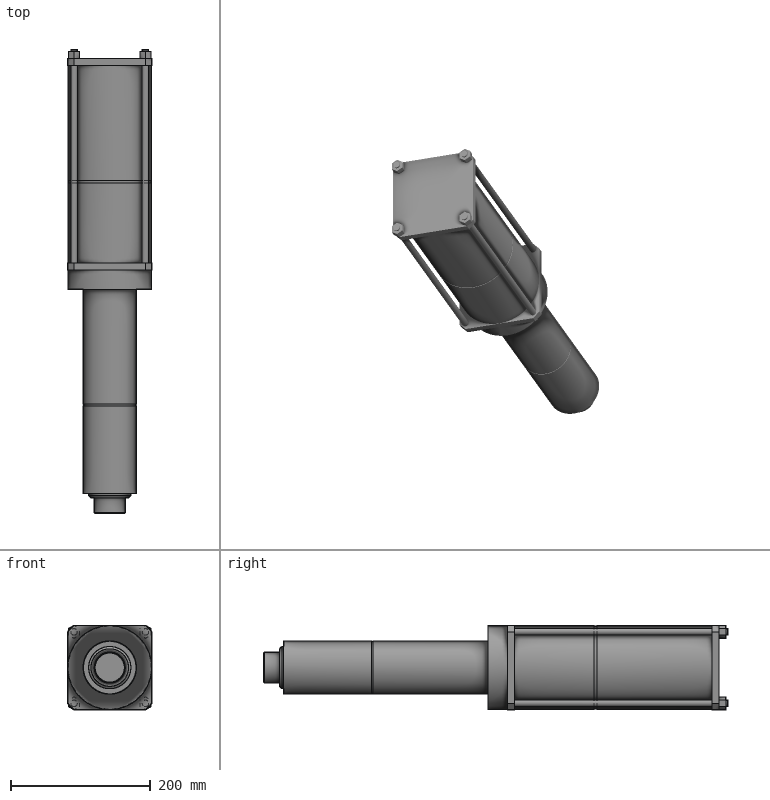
import cadquery as cq

overall_length = 663.5

plate_side = 121.0
plate_thickness = 10.0
plate_chamfer = 9.0
front_plate_start = 348.5
rear_plate_start = 641.0
rear_plate_end = rear_plate_start + plate_thickness

barrel_diameter = 120.0
barrel_groove_start = 472.5
barrel_groove_width = 4.0
flange_start = 320.5

tube_diameter = 76.0
tube_start = 28.5
tube_groove_start = 154.0
tube_groove_width = 2.5
groove_depth = 0.5

collar_diameter = 60.5
collar_length = 6.0
collar_chamfer = 3.0
piston_rod_diameter = 44.5
piston_rod_chamfer = 1.0

tie_rod_diameter = 9.0
tie_rod_offset = 51.0
nut_across_flats = 16.0
nut_thickness = 10.0
hexagon_flat_to_corner = 3 ** 0.5 / 2


def plane_at(y):
    """Sketch plane across the axis, facing +Y; its local axes are Z and X."""
    return cq.Workplane(cq.Plane(origin=(0, y, 0), xDir=(0, 0, 1), normal=(0, 1, 0)))


def cylinder(diameter, start, end):
    return plane_at(start).circle(diameter / 2).extrude(end - start)


def end_plate(start):
    plate = plane_at(start).rect(plate_side, plate_side).extrude(plate_thickness)
    return plate.edges("|Y").chamfer(plate_chamfer)


def groove(diameter, start, width):
    ring = plane_at(start).circle(diameter / 2).circle(diameter / 2 - groove_depth)
    return ring.extrude(width)


def at_tie_rods(y):
    spacing = 2 * tie_rod_offset
    return plane_at(y).rarray(spacing, spacing, 2, 2)


def tie_rods():
    length = overall_length - front_plate_start
    return at_tie_rods(front_plate_start).circle(tie_rod_diameter / 2).extrude(length)


def nuts():
    across_corners = nut_across_flats / hexagon_flat_to_corner
    return at_tie_rods(rear_plate_end).polygon(6, across_corners).extrude(nut_thickness)


def piston_rod():
    rod = cylinder(piston_rod_diameter, 0, tube_start)
    return rod.faces("<Y").chamfer(piston_rod_chamfer)


def collar():
    ring = cylinder(collar_diameter, tube_start - collar_length, tube_start)
    return ring.faces("<Y").chamfer(collar_chamfer)


barrel = cylinder(barrel_diameter, flange_start, rear_plate_end)
barrel = barrel.cut(groove(barrel_diameter, barrel_groove_start, barrel_groove_width))

tube = cylinder(tube_diameter, tube_start, flange_start)
tube = tube.cut(groove(tube_diameter, tube_groove_start, tube_groove_width))

result = (
    barrel.union(tube)
    .union(collar())
    .union(piston_rod())
    .union(end_plate(front_plate_start))
    .union(end_plate(rear_plate_start))
    .union(tie_rods())
    .union(nuts())
)